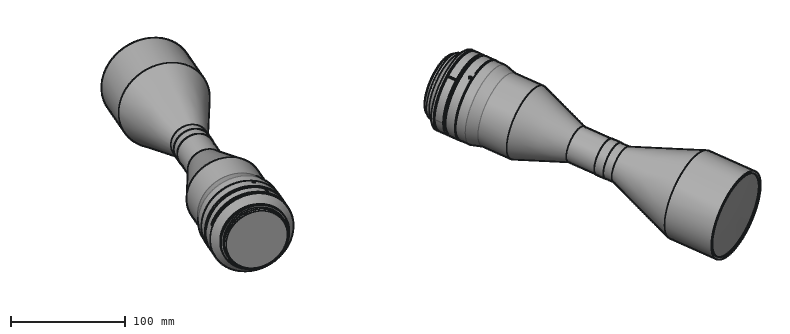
import cadquery as cq
import math

length = 300.3
objective_radius = 42.0
objective_end = 47.5
neck_radius = 17.0
neck_start = 116.2
collar_radius = 17.5
collar_start = 124.5
collar_end = 134.0
neck_end = 162.5
ocular_radius = 35.0
ocular_start = 212.3
ocular_end = 241.7
shoulder_radius = 38.0
shoulder_start = 253.0
grip_radius = 38.5
grip_start = 262.2
grip_end = 273.5
grip_lead_in = 1.0
grip_chamfer = 1.2
groove_radius = 36.3
dial_start = 275.0
dial_end = 287.0
rim_radius = 31.5
rim_start = 293.5
rim_end = 296.0
end_radius = 29.5
end_chamfer = 1.2

lens_radius = 39.5
lens_recess = 1.0
lens_crown = 0.5
lens_thickness = 3.0

screw_hole_radius = 1.2
screw_hole_depth = 1.5
screw_hole_x = 265.2
screw_hole_count = 3
screw_hole_spacing = 360 / screw_hole_count
first_screw_angle = -14.0

engraving_depth = 0.3
engraving_width = 1.2
arc_x = 283.5
index_angle = -25.0
arc_half_span = 96.0


def outward(angle):
    """Unit vector across the axis: 0 degrees is +Z, positive turns toward -Y."""
    return cq.Vector(0, -math.sin(math.radians(angle)), math.cos(math.radians(angle)))


def disc(x, radius, thickness):
    """Cylinder along +X that starts at station x."""
    return cq.Workplane("YZ", origin=(x, 0, 0)).circle(radius).extrude(thickness)


def make_turned_body():
    outline = [
        (0, 0),
        (0, objective_radius),
        (objective_end, objective_radius),
        (neck_start, neck_radius),
        (collar_start, neck_radius),
        (collar_start, collar_radius),
        (collar_end, collar_radius),
        (collar_end, neck_radius),
        (neck_end, neck_radius),
        (ocular_start, ocular_radius),
        (ocular_end, ocular_radius),
        (shoulder_start, shoulder_radius),
        (grip_start, shoulder_radius),
        (grip_start + grip_lead_in, grip_radius),
        (grip_end - grip_chamfer, grip_radius),
        (grip_end, grip_radius - grip_chamfer),
        (grip_end, groove_radius),
        (dial_start, groove_radius),
        (dial_start, grip_radius),
        (dial_end, grip_radius),
        (rim_start, rim_radius),
        (rim_end, rim_radius),
        (rim_end, end_radius),
        (length - end_chamfer, end_radius),
        (length, end_radius - end_chamfer),
        (length, 0),
    ]
    return cq.Workplane("XY").polyline(outline).close().revolve(360, (0, 0, 0), (1, 0, 0))


def make_lens_pocket():
    return disc(0, lens_radius, lens_recess + lens_thickness)


def make_screw_hole(angle):
    direction = outward(angle)
    floor = direction * (grip_radius - screw_hole_depth) + cq.Vector(screw_hole_x, 0, 0)
    return cq.Workplane(cq.Solid.makeCylinder(screw_hole_radius, 2 * screw_hole_depth, floor, direction))


def make_scale_arc():
    """Shallow circumferential groove centred on the index mark."""
    inner_radius = grip_radius - engraving_depth
    section = (
        cq.Workplane("XZ")
        .moveTo(arc_x, inner_radius)
        .rect(engraving_width, 2 * engraving_depth, centered=(False, False))
    )
    arc = section.revolve(2 * arc_half_span, (0, 0, 0), (1, 0, 0))
    return arc.rotate((0, 0, 0), (1, 0, 0), index_angle - arc_half_span)


def make_index_mark():
    """Shallow groove along X from the edge of the dial ring to the arc."""
    mark = cq.Workplane("XY").box(
        arc_x - dial_start, engraving_width, 2 * engraving_depth, centered=(False, True, False)
    )
    mark = mark.translate((dial_start, 0, grip_radius - engraving_depth))
    return mark.rotate((0, 0, 0), (1, 0, 0), index_angle)


def make_scope():
    scope = make_turned_body().cut(make_lens_pocket()).cut(make_scale_arc()).cut(make_index_mark())
    for index in range(screw_hole_count):
        scope = scope.cut(make_screw_hole(first_screw_angle + index * screw_hole_spacing))
    return scope


def make_lens():
    """Round lens with a slightly domed outer face."""
    outline = (
        cq.Workplane("XY")
        .moveTo(lens_recess + lens_thickness, 0)
        .lineTo(lens_recess + lens_thickness, lens_radius)
        .lineTo(lens_recess, lens_radius)
        .lineTo(lens_recess - lens_crown, 0)
        .close()
    )
    return outline.revolve(360, (0, 0, 0), (1, 0, 0))


scope = make_scope()
lens = make_lens()
result = cq.Compound.makeCompound([scope.val(), lens.val()])